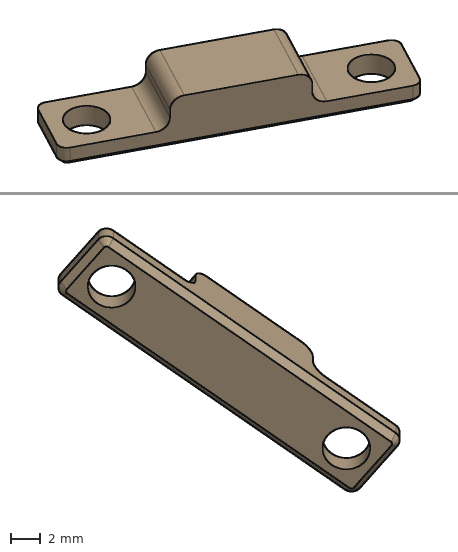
import cadquery as cq

width = 5.5
length = 25.5
height = 4.2

plate_thickness = 1.6
corner_radius = 0.71
bottom_chamfer = 0.5

block_length = 10.0
block_height = height - plate_thickness
bend_radius = 1.0

hole_diameter = 3.2
hole_spacing = 20.0


def make_plate():
    """Flat plate with rounded corners and a chamfered bottom rim."""
    plate = cq.Workplane("XY").box(width, length, plate_thickness, centered=(True, True, False))
    plate = plate.edges("|Z").fillet(corner_radius)
    return plate.faces("<Z").chamfer(bottom_chamfer)


def make_block():
    """Full-width block whose two top edges are rounded."""
    block = (
        cq.Workplane("XY")
        .workplane(offset=plate_thickness)
        .box(width, block_length, block_height, centered=(True, True, False))
    )
    return block.edges("|X and >Z").fillet(bend_radius)


def make_root_fillet(side):
    """Concave blend from the plate up to the block, on the +Y or -Y side."""
    wall = side * block_length / 2
    toe = wall + side * bend_radius
    crest = plate_thickness + bend_radius
    corner = cq.Workplane("YZ").moveTo(wall, plate_thickness).lineTo(toe, plate_thickness)
    profile = corner.radiusArc((wall, crest), side * bend_radius).close()
    return profile.extrude(width / 2, both=True)


body = make_plate().union(make_block())
for side in (-1, 1):
    body = body.union(make_root_fillet(side))

holes = (
    cq.Workplane("XY")
    .pushPoints([(0, -hole_spacing / 2), (0, hole_spacing / 2)])
    .circle(hole_diameter / 2)
    .extrude(plate_thickness)
)
result = body.cut(holes)